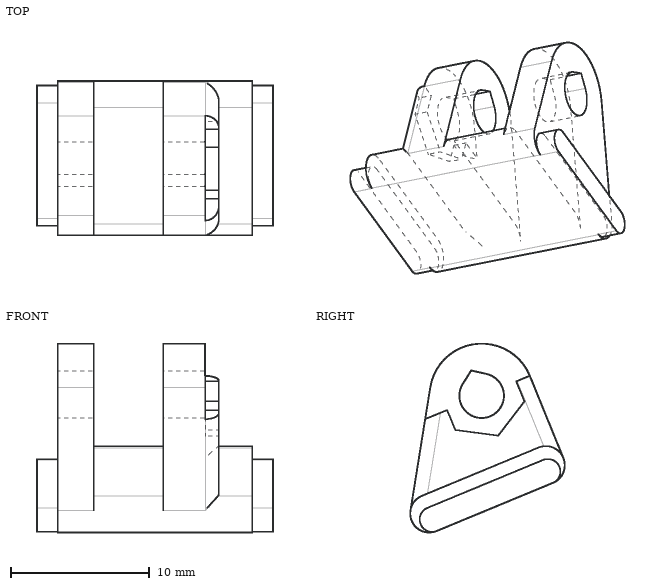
import cadquery as cq
import math

tilt = 22.5

length = 17.0
bar_step = 1.5
body_start = bar_step
body_end = length - bar_step
left_lug_end = 4.1
right_lug_start = 9.08
right_lug_end = 12.1
boss_thickness = 1.0
boss_end = right_lug_end + boss_thickness

body_radius = 1.38
body_spacing = 9.08
bar_radius = 0.9
bar_spacing = 9.01
base_mid_y = -2.2
body_z = -6.4
bar_z = body_z - body_radius + bar_radius

head_radius = 3.75
hole_radius = 1.6
teardrop_height = 1.95
nut_across_flats = 5.39


def prism(sketch_points, start, end):
    """Closed polygon in the YZ plane, extruded between two X positions."""
    return cq.Workplane("YZ", origin=(start, 0, 0)).polyline(sketch_points).close().extrude(end - start)


def stadium(spacing, radius, center_z, start, end):
    return (
        cq.Workplane("YZ", origin=(start, 0, 0))
        .center(base_mid_y, center_z)
        .slot2D(spacing + 2 * radius, 2 * radius)
        .extrude(end - start)
    )


def tangent_points(circle_a, circle_b):
    """Contact points of the tangent lying to the left when going from circle a to b."""
    ya, za, ra = circle_a
    yb, zb, rb = circle_b
    heading = math.atan2(zb - za, yb - ya)
    normal = heading + math.acos((ra - rb) / math.hypot(yb - ya, zb - za))
    return [(y + r * math.cos(normal), z + r * math.sin(normal)) for y, z, r in (circle_a, circle_b)]


def lug(start, end):
    """Plate wrapped around the head circle and the two rounded ends of the base body."""
    front = (base_mid_y - body_spacing / 2, body_z, body_radius)
    back = (base_mid_y + body_spacing / 2, body_z, body_radius)
    head = (0, 0, head_radius)
    front_low, front_high = tangent_points(front, head)
    back_high, back_low = tangent_points(head, back)
    under_back, under_front = tangent_points(back, front)
    corner = body_radius * math.sqrt(0.5)
    return (
        cq.Workplane("YZ", origin=(start, 0, 0))
        .moveTo(*front_low)
        .lineTo(*front_high)
        .threePointArc((0, head_radius), back_high)
        .lineTo(*back_low)
        .threePointArc((back[0] + corner, body_z - corner), under_back)
        .lineTo(*under_front)
        .threePointArc((front[0] - corner, body_z - corner), front_low)
        .close()
        .extrude(end - start)
    )


def nut_boss():
    """Round-edged pad on the right lug, cut level with the pin axis and holding half a hex nut."""
    pad = lug(right_lug_start, boss_end).faces(">X").edges().fillet(boss_thickness)
    pad = pad.cut(
        cq.Workplane("XY")
        .box(length, 4 * head_radius, 2 * head_radius, centered=(False, True, False))
    )
    corner_radius = nut_across_flats / math.sqrt(3)
    hexagon = []
    for i in range(6):
        angle = math.radians(30 + 60 * i)
        hexagon.append((corner_radius * math.cos(angle), corner_radius * math.sin(angle)))
    return pad.cut(prism(hexagon, right_lug_end, boss_end))


def pin_hole():
    """Round hole with a pointed top whose sides are tangent to the circle."""
    contact_z = hole_radius**2 / teardrop_height
    contact_y = math.sqrt(hole_radius**2 - contact_z**2)
    return (
        cq.Workplane("YZ")
        .moveTo(-contact_y, contact_z)
        .lineTo(0, teardrop_height)
        .lineTo(contact_y, contact_z)
        .threePointArc((0, -hole_radius), (-contact_y, contact_z))
        .close()
        .extrude(length)
    )


result = (
    stadium(body_spacing, body_radius, body_z, body_start, body_end)
    .union(stadium(bar_spacing, bar_radius, bar_z, 0, length))
    .union(nut_boss())
    .union(lug(body_start, left_lug_end))
    .union(lug(right_lug_start, right_lug_end))
    .cut(pin_hole())
    .rotate((0, 0, 0), (1, 0, 0), tilt)
)